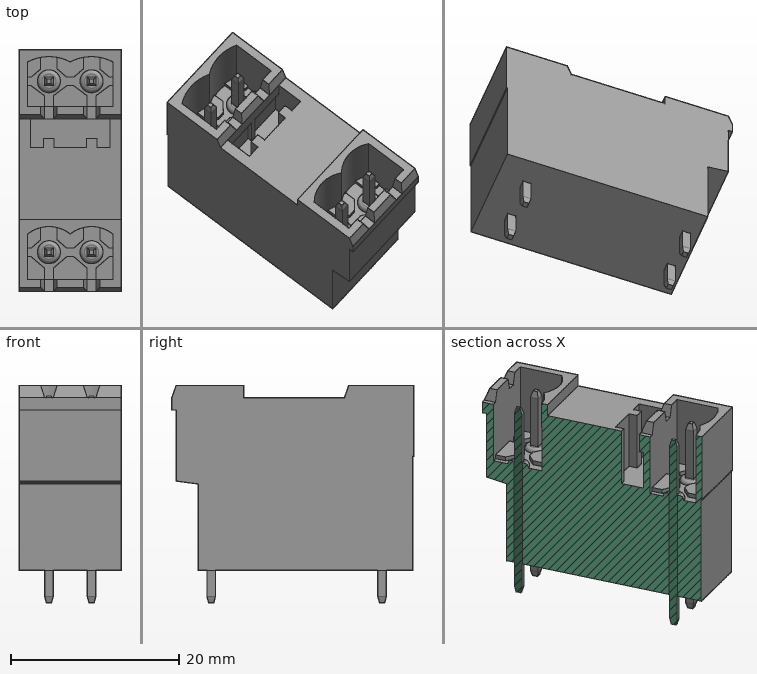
import cadquery as cq


WIDTH = 12.15
LENGTH = 28.8
HEIGHT = 22.0
SADDLE_DROP = 1.47
SADDLE_Z = HEIGHT - SADDLE_DROP
CHAMFER_RUN = 0.52
LIP_DEPTH = 0.52
FRONT_LIP_Z = SADDLE_Z - 1.47
OVERHANG_INNER_Z = 10.25
OVERHANG_OUTER_Z = 10.6
LOWER_FRONT_Y = 3.15
REAR_STEP_Z = 13.55
REAR_STEP_DEPTH = 0.12

PIN_PITCH = 5.07
PIN_XS = (-PIN_PITCH / 2, PIN_PITCH / 2)
ROW_PITCH = 20.33
FRONT_PIN_Y = 4.7
REAR_PIN_Y = FRONT_PIN_Y + ROW_PITCH

PIN_SIDE = 1.05
PIN_TOP_Z = HEIGHT - 1.27
PIN_BOTTOM_Z = -3.9
TOP_TIP_SIDE = 0.52
TOP_TIP_LENGTH = 0.8
BOTTOM_TIP_SIDE = 0.63
BOTTOM_TIP_LENGTH = 0.78

FRONT_HEADER_Y = 0.0
FRONT_HEADER_BACK_Y = 8.58
REAR_HEADER_Y = 20.53
CUP_FLOOR_Z = REAR_STEP_Z
CUP_FRONT_WALL = 1.47
CUP_BACK_WALL = 0.84
FRONT_CUP_ARC_RISE = 0.9
REAR_CUP_ARC_RISE = 0.63
NOTCH_TOP_WIDTH = 1.95
NOTCH_BOTTOM_WIDTH = PIN_SIDE

BOSS_DIAMETER = 2.75
BOSS_FLAT_DIAMETER = 1.7
BOSS_HEIGHT = (BOSS_DIAMETER - BOSS_FLAT_DIAMETER) / 2
CHANNEL_FLOOR_Z = CUP_FLOOR_Z - BOSS_HEIGHT
CHANNEL_WIDTH = 1.05
BACK_CHANNEL_WIDTH = NOTCH_TOP_WIDTH
BACK_FLARE_X = 2.07
FRONT_FLARE_X = 2.13
BACK_FLARE_Y = 1.47
FRONT_CUP_FLARE_Y = 1.9
REAR_CUP_FLARE_Y = 1.73

SLOT_WIDTH = 9.5
SLOT_FRONT_Y = 17.16
SLOT_FLOOR_Z = CUP_FLOOR_Z
TOOTH_WIDTH = 1.25
TOOTH_LENGTH = 1.07
REAR_LIP_Z = SADDLE_Z - 2.3
UNDERCUT_WIDTH = SLOT_WIDTH - PIN_PITCH


def box(x_size, y_start, y_end, z_start, z_end, x_mid=0.0):
    """Box centred on x_mid and spanning the given Y and Z ranges."""
    corner = (x_mid - x_size / 2, y_start, z_start)
    return cq.Workplane("XY").box(x_size, y_end - y_start, z_end - z_start, centered=False).translate(corner)


def make_block():
    """Side outline of the housing, extruded over its width."""
    outline = [
        (LOWER_FRONT_Y, 0),
        (LOWER_FRONT_Y, OVERHANG_INNER_Z),
        (FRONT_HEADER_Y + LIP_DEPTH, OVERHANG_OUTER_Z),
        (FRONT_HEADER_Y + LIP_DEPTH, FRONT_LIP_Z),
        (FRONT_HEADER_Y, FRONT_LIP_Z),
        (FRONT_HEADER_Y, SADDLE_Z),
        (FRONT_HEADER_Y + CHAMFER_RUN, HEIGHT),
        (FRONT_HEADER_BACK_Y, HEIGHT),
        (FRONT_HEADER_BACK_Y, SADDLE_Z),
        (REAR_HEADER_Y, SADDLE_Z),
        (REAR_HEADER_Y + CHAMFER_RUN, HEIGHT),
        (LENGTH, HEIGHT),
        (LENGTH, REAR_STEP_Z),
        (LENGTH - REAR_STEP_DEPTH, REAR_STEP_Z),
        (LENGTH - REAR_STEP_DEPTH, 0),
    ]
    return cq.Workplane("YZ").polyline(outline).close().extrude(WIDTH / 2, both=True)


def make_cup(front_y, back_y, arc_rise):
    """Cup void: straight front and sides, one shallow arc behind each pin."""
    shoulder_y = back_y - arc_rise
    return (
        cq.Workplane("XY", origin=(0, 0, CUP_FLOOR_Z))
        .moveTo(-PIN_PITCH, front_y)
        .lineTo(PIN_PITCH, front_y)
        .lineTo(PIN_PITCH, shoulder_y)
        .threePointArc((PIN_PITCH / 2, back_y), (0, shoulder_y))
        .threePointArc((-PIN_PITCH / 2, back_y), (-PIN_PITCH, shoulder_y))
        .close()
        .extrude(HEIGHT - CUP_FLOOR_Z)
    )


def make_notch(pin_x, lip_y, cup_front_y):
    """Tapered gap through the front rim, as deep as the saddle."""
    outline = [
        (pin_x - NOTCH_BOTTOM_WIDTH / 2, SADDLE_Z),
        (pin_x + NOTCH_BOTTOM_WIDTH / 2, SADDLE_Z),
        (pin_x + NOTCH_TOP_WIDTH / 2, HEIGHT),
        (pin_x - NOTCH_TOP_WIDTH / 2, HEIGHT),
    ]
    plane = cq.Workplane("XZ", origin=(0, lip_y, 0))
    return plane.polyline(outline).close().extrude(lip_y - cup_front_y)


def make_channels(pin_x, pin_y, front_y, back_y, front_flare_y):
    """Floor channels that run from a pin to all four cup walls, flared round its boss."""
    half_front = CHANNEL_WIDTH / 2
    half_back = BACK_CHANNEL_WIDTH / 2
    right_side = [
        (half_front, front_y - pin_y),
        (half_front, -front_flare_y),
        (FRONT_FLARE_X, -CHANNEL_WIDTH / 2),
        (PIN_PITCH / 2, -CHANNEL_WIDTH / 2),
        (PIN_PITCH / 2, CHANNEL_WIDTH / 2),
        (BACK_FLARE_X, CHANNEL_WIDTH / 2),
        (half_back, BACK_FLARE_Y),
        (half_back, back_y - pin_y),
    ]
    left_side = [(-x, y) for x, y in reversed(right_side)]
    return (
        cq.Workplane("XY", origin=(pin_x, pin_y, CHANNEL_FLOOR_Z))
        .polyline(right_side + left_side)
        .close()
        .extrude(BOSS_HEIGHT)
    )


def make_boss(pin_x, pin_y):
    """Round boss on the channel floor, its upper edge rounded down to the floor."""
    flat_radius = BOSS_FLAT_DIAMETER / 2
    profile = (
        cq.Workplane("XZ")
        .lineTo(BOSS_DIAMETER / 2, 0)
        .radiusArc((flat_radius, BOSS_HEIGHT), -BOSS_HEIGHT)
        .lineTo(0, BOSS_HEIGHT)
        .close()
    )
    return profile.revolve(360, (0, 0), (0, 1)).translate((pin_x, pin_y, CHANNEL_FLOOR_Z))


def cut_header(housing, lip_y, header_back_y, pin_y, arc_rise, front_flare_y):
    """Cut one two-pin plug header into the housing."""
    front_y = lip_y + CUP_FRONT_WALL
    back_y = header_back_y - CUP_BACK_WALL
    cup = make_cup(front_y, back_y, arc_rise)
    cup_below = cup.translate((0, 0, CHANNEL_FLOOR_Z - CUP_FLOOR_Z))
    housing = housing.cut(cup)
    for pin_x in PIN_XS:
        housing = housing.cut(make_notch(pin_x, lip_y, front_y))
        channels = make_channels(pin_x, pin_y, front_y, back_y, front_flare_y)
        housing = housing.cut(channels.intersect(cup_below))
        housing = housing.union(make_boss(pin_x, pin_y))
    return housing


def cut_latch_slot(housing):
    """Cut the toothed slot, and the two recesses under the rear header's lip."""
    slot = box(SLOT_WIDTH, SLOT_FRONT_Y, REAR_HEADER_Y, SLOT_FLOOR_Z, SADDLE_Z)
    tooth_end_y = SLOT_FRONT_Y + TOOTH_LENGTH
    undercut_y = REAR_HEADER_Y + LIP_DEPTH
    for pin_x in PIN_XS:
        slot = slot.cut(box(TOOTH_WIDTH, SLOT_FRONT_Y, tooth_end_y, SLOT_FLOOR_Z, SADDLE_Z, pin_x))
    for pin_x in PIN_XS:
        slot = slot.union(box(UNDERCUT_WIDTH, tooth_end_y, undercut_y, SLOT_FLOOR_Z, REAR_LIP_Z, pin_x))
    return housing.cut(slot)


def tapered_tip(side, tip_side, length, z):
    """Pyramid frustum growing from height z; a negative length points it down."""
    direction = (0, 0, 1 if length > 0 else -1)
    base = cq.Workplane(cq.Plane(origin=(0, 0, z), xDir=(1, 0, 0), normal=direction))
    return base.rect(side, side).workplane(offset=abs(length)).rect(tip_side, tip_side).loft(ruled=True)


def make_pin(pin_x, pin_y):
    """Straight square pin with a tapered tip at each end."""
    shaft_bottom_z = PIN_BOTTOM_Z + BOTTOM_TIP_LENGTH
    shaft_top_z = PIN_TOP_Z - TOP_TIP_LENGTH
    pin = box(PIN_SIDE, -PIN_SIDE / 2, PIN_SIDE / 2, shaft_bottom_z, shaft_top_z)
    pin = pin.union(tapered_tip(PIN_SIDE, TOP_TIP_SIDE, TOP_TIP_LENGTH, shaft_top_z))
    pin = pin.union(tapered_tip(PIN_SIDE, BOTTOM_TIP_SIDE, -BOTTOM_TIP_LENGTH, shaft_bottom_z))
    return pin.translate((pin_x, pin_y, 0))


def make_housing(pins):
    """Housing with both headers, the latch slot and a square hole for every pin."""
    housing = make_block()
    housing = cut_header(
        housing, FRONT_HEADER_Y, FRONT_HEADER_BACK_Y, FRONT_PIN_Y, FRONT_CUP_ARC_RISE, FRONT_CUP_FLARE_Y
    )
    housing = cut_header(housing, REAR_HEADER_Y, LENGTH, REAR_PIN_Y, REAR_CUP_ARC_RISE, REAR_CUP_FLARE_Y)
    housing = cut_latch_slot(housing)
    for pin in pins:
        housing = housing.cut(pin)
    return housing


pins = []
for row_y in (FRONT_PIN_Y, REAR_PIN_Y):
    for column_x in PIN_XS:
        pins.append(make_pin(column_x, row_y))

housing = make_housing(pins)

result = cq.Compound.makeCompound([housing.solids().val(), *[pin.solids().val() for pin in pins]])